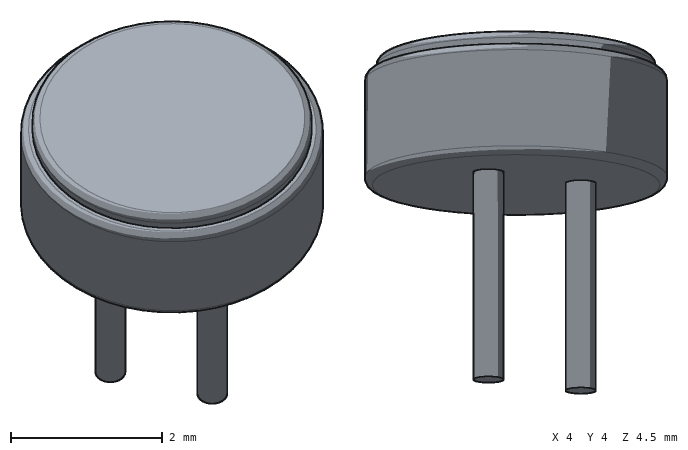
import cadquery as cq

total_height = 4.5
body_diameter = 4.0
body_height = 1.5
cap_diameter = 3.7
cap_height = 0.2
edge_radius = 0.1

pin_diameter = 0.4
pin_spacing = 1.405
pin_row_y = -0.5
pin_length = total_height - body_height - cap_height

body = cq.Workplane("XY").circle(body_diameter / 2).extrude(body_height)
body = body.edges().fillet(edge_radius)

cap = cq.Workplane("XY").workplane(offset=body_height).circle(cap_diameter / 2).extrude(cap_height)
cap = cap.faces(">Z").edges().fillet(edge_radius)

pin_centers = [(side * pin_spacing / 2, pin_row_y) for side in (-1, 1)]
pins = cq.Workplane("XY").pushPoints(pin_centers).circle(pin_diameter / 2).extrude(-pin_length)

result = body.union(cap).union(pins)